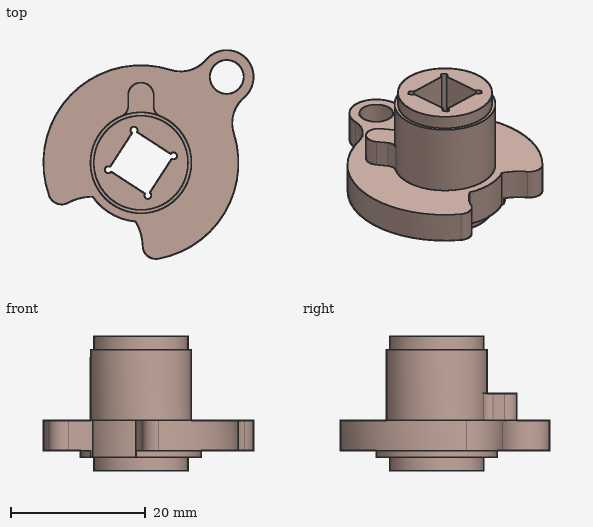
import cadquery as cq
import math

journal_radius = 7.0
barrel_radius = 7.5
collar_radius = 9.0
total_height = 20.0
journal_height = 2.0
collar_height = 1.0
shoulder_z = total_height - journal_height
plate_bottom = journal_height + collar_height
plate_thickness = 4.5
plate_top = plate_bottom + plate_thickness

plate_radius = 14.5
lug_offset = 12.75
lug_angle = 45.0
lug_radius = 4.0
lug_hole_radius = 2.5
lug_blend_radius = 5.0

notch_angle = 240.0
notch_radius = barrel_radius
notch_core_radius = 8.78
notch_tip_radius = 2.0

rib_end_center = 10.0
rib_radius = 1.9
rib_blend_radius = 1.5
rib_height = 4.0

socket_side = 7.0
socket_angle = -33.0
socket_relief_radius = 0.5


def cylinder(radius, z_low, z_high, center=(0, 0)):
    """Vertical cylinder between two heights."""
    base = cq.Workplane("XY", origin=(*center, z_low))
    return base.circle(radius).extrude(z_high - z_low)


def vertical_edges_at(points, z):
    """Selector for the two vertical edges at the given XY points, centred at height z."""
    size = 0.15
    first, second = [
        cq.selectors.BoxSelector((x - size, y - size, z - size), (x + size, y + size, z + size))
        for x, y in points
    ]
    return first + second


def plate_rim_points(center_distance, radius, angle):
    """The two points where a circle at the given polar position crosses the plate rim."""
    along = (center_distance**2 + plate_radius**2 - radius**2) / (2 * center_distance)
    half_angle = math.acos(along / plate_radius)
    middle = math.radians(angle)
    return [
        (plate_radius * math.cos(middle + turn), plate_radius * math.sin(middle + turn))
        for turn in (-half_angle, half_angle)
    ]


def make_notch():
    middle = math.radians(notch_angle)
    center = (plate_radius * math.cos(middle), plate_radius * math.sin(middle))
    core = cylinder(notch_core_radius, journal_height, plate_top)
    return cylinder(notch_radius, journal_height, plate_top, center).cut(core)


def make_plate(notch):
    lug_center = (lug_offset, lug_offset)
    middle_z = plate_bottom + plate_thickness / 2
    plate = cylinder(plate_radius, plate_bottom, plate_top)
    plate = plate.union(cylinder(lug_radius, plate_bottom, plate_top, lug_center))
    lug_corners = plate_rim_points(math.hypot(*lug_center), lug_radius, lug_angle)
    plate = plate.edges(vertical_edges_at(lug_corners, middle_z)).fillet(lug_blend_radius)
    plate = plate.cut(cylinder(lug_hole_radius, plate_bottom, plate_top, lug_center))
    plate = plate.cut(notch)
    notch_corners = plate_rim_points(plate_radius, notch_radius, notch_angle)
    return plate.edges(vertical_edges_at(notch_corners, middle_z)).fillet(notch_tip_radius)


def make_rib():
    """Rib along +Y whose root flares tangentially into the barrel."""
    blend_x = rib_radius + rib_blend_radius
    blend_distance = barrel_radius + rib_blend_radius
    blend_y = math.sqrt(blend_distance**2 - blend_x**2)
    root_x = blend_x * barrel_radius / blend_distance
    root_y = blend_y * barrel_radius / blend_distance
    middle = (math.pi + math.atan2(blend_y, blend_x) + math.pi) / 2
    arc_x = blend_x + rib_blend_radius * math.cos(middle)
    arc_y = blend_y + rib_blend_radius * math.sin(middle)
    return (
        cq.Workplane("XY", origin=(0, 0, plate_top))
        .moveTo(0, 0)
        .lineTo(root_x, root_y)
        .threePointArc((arc_x, arc_y), (rib_radius, blend_y))
        .lineTo(rib_radius, rib_end_center)
        .threePointArc((0, rib_end_center + rib_radius), (-rib_radius, rib_end_center))
        .lineTo(-rib_radius, blend_y)
        .threePointArc((-arc_x, arc_y), (-root_x, root_y))
        .close()
        .extrude(rib_height)
    )


def make_socket():
    square = cq.Workplane("XY").rect(socket_side, socket_side).extrude(total_height)
    reliefs = (
        cq.Workplane("XY")
        .rect(socket_side, socket_side, forConstruction=True)
        .vertices()
        .circle(socket_relief_radius)
        .extrude(total_height)
    )
    return square.union(reliefs).rotate((0, 0, 0), (0, 0, 1), socket_angle)


notch = make_notch()
collar = cylinder(collar_radius, journal_height, plate_bottom).cut(notch)
journal = cylinder(journal_radius, 0, total_height)
barrel = cylinder(barrel_radius, plate_bottom, shoulder_z)

result = make_plate(notch).union(collar).union(journal).union(barrel)
result = result.union(make_rib()).cut(make_socket())